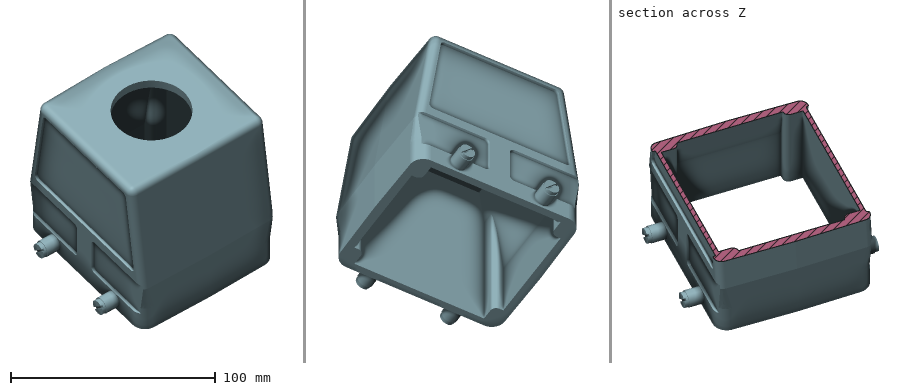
import cadquery as cq
import math

HEIGHT = 93.5
WIDTH = 94.0
DEPTH = 82.6
HALF_WIDTH = WIDTH / 2
HALF_DEPTH = DEPTH / 2
CROWN_ANGLE = 1.0
TAPER_ANGLE = 8.0
SHOULDER_Z = 29.9
BASE_CORNER_Z = 14.8
BASE_CORNER_RADIUS = 7.5
UPPER_RADIUS = 4.0
ROOF_FLAT_HALF_DEPTH = 28.7
CROWN_SLOPE = math.tan(math.radians(CROWN_ANGLE))
TAPER_SLOPE = math.tan(math.radians(TAPER_ANGLE))

CABLE_HOLE_DIAMETER = 40.0
ROOF_THICKNESS = 5.0
FRONT_WALL = 4.0
CAVITY_HALF_WIDTH = 42.0
PILLAR_X = 36.6
PILLAR_DEPTH = 9.4
PILLAR_RADIUS = 3.3

RECESS_DEPTH = 1.4
RECESS_WALL_TAPER = 16.0
RECESS_CORNER_RADIUS = 2.5
PANEL_BOTTOM_Z = 37.8
PANEL_TOP_Z = 88.3
PANEL_SIDE_MARGIN = 5.0
POCKET_BOTTOM_Z = 10.6
POCKET_TOP_Z = 32.5
POCKET_INNER_X = 5.7
OVERSHOOT = 10.2

PIN_X = 23.8
PIN_Z = 5.8
PIN_DIAMETER = 8.8
PIN_TIP_DIAMETER = 8.0
PIN_END_Y = 51.2
PIN_TIP_LENGTH = 2.3
PIN_SLOT_WIDTH = 1.2
PIN_SLOT_DEPTH = 1.0
PIN_SLOT_ANGLE = 45.0


def half_width_at(z):
    """Half width at the middle of the side walls."""
    return HALF_WIDTH - max(0, z - SHOULDER_Z) * TAPER_SLOPE


def corner_x_at(z):
    """Half width at the front and back walls, before the corners are rounded."""
    return half_width_at(z) - HALF_DEPTH * CROWN_SLOPE


def half_outline(middle_z, corner_z):
    """Rear half of the shell's plan outline; the heights at the middle and the corners may differ."""
    middle = half_width_at(middle_z)
    corner = corner_x_at(corner_z)
    return [
        cq.Vector(middle, 0, middle_z),
        cq.Vector(corner, HALF_DEPTH, corner_z),
        cq.Vector(-corner, HALF_DEPTH, corner_z),
        cq.Vector(-middle, 0, middle_z),
    ]


def rounded_outline(z, corner_radius):
    """Full plan outline, with a slight crest in the middle of each side wall."""
    rear = half_outline(z, z)
    front = [cq.Vector(-point.x, -point.y, z) for point in rear[1:3]]
    wire = cq.Wire.makePolygon(rear + front, close=True)
    corners = [vertex for vertex in wire.Vertices() if abs(vertex.Y) > HALF_DEPTH / 2]
    return wire.fillet2D(corner_radius, corners)


def flat_sided_solid(bottom, top):
    """Solid bounded by two matching outlines and a flat face between each pair of edges."""
    loops = [bottom, top]
    for i in range(len(bottom)):
        loops.append([bottom[i - 1], bottom[i], top[i], top[i - 1]])
    faces = [cq.Face.makeFromWires(cq.Wire.makePolygon(loop, close=True)) for loop in loops]
    return cq.Workplane(cq.Solid.makeSolid(cq.Shell.makeShell(faces)))


def make_upper_shell():
    """Leaning part with rounded edges and a gently pitched roof, levelled along the ridge."""
    ridge_z = HEIGHT + ROOF_FLAT_HALF_DEPTH * CROWN_SLOPE
    eave_z = ridge_z - HALF_DEPTH * CROWN_SLOPE
    rear = flat_sided_solid(half_outline(SHOULDER_Z, SHOULDER_Z), half_outline(ridge_z, eave_z))
    rounded = rear.faces(">Y").edges("not <Z").add(rear.faces(">Z").edges("<X or >X"))
    rear = rounded.fillet(UPPER_RADIUS)
    level = cq.Workplane().box(2 * WIDTH, 2 * DEPTH, HEIGHT, centered=(True, True, False))
    rear = rear.intersect(level)
    return rear.union(rear.mirror("XZ"))


def make_lower_shell(upper):
    """Upright part; its corner rounds shrink to match the upper part at the shoulder."""
    base_wire = rounded_outline(0, BASE_CORNER_RADIUS)
    base = cq.Solid.extrudeLinear(base_wire, [], cq.Vector(0, 0, BASE_CORNER_Z))
    shoulder_wire = upper.faces("<Z").wires().val()
    blend = cq.Solid.makeLoft([rounded_outline(BASE_CORNER_Z, BASE_CORNER_RADIUS), shoulder_wire], True)
    return cq.Workplane(base).union(cq.Workplane(blend))


def make_cavity():
    ceiling_z = HEIGHT - ROOF_THICKNESS
    half_depth = HALF_DEPTH - FRONT_WALL
    ceiling_x = CAVITY_HALF_WIDTH - (ceiling_z - SHOULDER_Z) * TAPER_SLOPE
    cavity = (
        cq.Workplane("XZ")
        .polyline([
            (CAVITY_HALF_WIDTH, 0),
            (CAVITY_HALF_WIDTH, SHOULDER_Z),
            (ceiling_x, ceiling_z),
            (-ceiling_x, ceiling_z),
            (-CAVITY_HALF_WIDTH, SHOULDER_Z),
            (-CAVITY_HALF_WIDTH, 0),
        ])
        .close()
        .extrude(half_depth, both=True)
    )
    for x_side in (-1, 1):
        for y_side in (-1, 1):
            pillar = (
                cq.Workplane()
                .box(2 * OVERSHOOT, 2 * PILLAR_DEPTH, HEIGHT, centered=(True, True, False))
                .edges("|Z")
                .fillet(PILLAR_RADIUS)
                .translate((x_side * (PILLAR_X + OVERSHOOT), y_side * half_depth, 0))
            )
            cavity = cavity.cut(pillar)
    return cavity


def wall_recess(corners):
    """Cutter for the back wall, narrowing toward its floor."""
    wall = cq.Plane(origin=(0, HALF_DEPTH, 0), xDir=(1, 0, 0), normal=(0, -1, 0))
    profile = cq.Sketch().polygon(corners + corners[:1]).vertices().fillet(RECESS_CORNER_RADIUS)
    return cq.Workplane(wall).placeSketch(profile).extrude(RECESS_DEPTH, taper=RECESS_WALL_TAPER)


def make_panel():
    bottom_x = corner_x_at(PANEL_BOTTOM_Z) - PANEL_SIDE_MARGIN
    top_x = corner_x_at(PANEL_TOP_Z) - PANEL_SIDE_MARGIN
    return wall_recess([
        (-bottom_x, PANEL_BOTTOM_Z),
        (bottom_x, PANEL_BOTTOM_Z),
        (top_x, PANEL_TOP_Z),
        (-top_x, PANEL_TOP_Z),
    ])


def make_latch_pocket():
    """Pocket that runs out through the side of the shell."""
    outer_x = HALF_WIDTH + OVERSHOOT
    return wall_recess([
        (POCKET_INNER_X, POCKET_BOTTOM_Z),
        (outer_x, POCKET_BOTTOM_Z),
        (outer_x, POCKET_TOP_Z),
        (POCKET_INNER_X, POCKET_TOP_Z),
    ])


def make_pin():
    """Stepped pin on the back wall with a slanted screwdriver slot in its tip."""
    root_y = HALF_DEPTH - FRONT_WALL / 2
    shoulder_y = PIN_END_Y - PIN_TIP_LENGTH
    along_y = cq.Vector(0, 1, 0)
    shank = cq.Solid.makeCylinder(PIN_DIAMETER / 2, shoulder_y - root_y, cq.Vector(0, root_y, 0), along_y)
    tip = cq.Solid.makeCylinder(PIN_TIP_DIAMETER / 2, PIN_TIP_LENGTH, cq.Vector(0, shoulder_y, 0), along_y)
    slot = (
        cq.Workplane()
        .box(2 * PIN_DIAMETER, 2 * PIN_SLOT_DEPTH, PIN_SLOT_WIDTH)
        .rotate((0, 0, 0), (0, 1, 0), PIN_SLOT_ANGLE)
        .translate((0, PIN_END_Y, 0))
    )
    return cq.Workplane(shank).union(cq.Workplane(tip)).cut(slot)


upper_shell = make_upper_shell()
result = upper_shell.union(make_lower_shell(upper_shell)).cut(make_cavity())
result = result.cut(cq.Workplane().circle(CABLE_HOLE_DIAMETER / 2).extrude(HEIGHT))

panel = make_panel()
pocket = make_latch_pocket()
mirrored_pocket = pocket.mirror("YZ")
pin = make_pin()
for turn in (0, 180):
    for cutter in (panel, pocket, mirrored_pocket):
        result = result.cut(cutter.rotate((0, 0, 0), (0, 0, 1), turn))
    for x in (-PIN_X, PIN_X):
        result = result.union(pin.translate((x, 0, PIN_Z)).rotate((0, 0, 0), (0, 0, 1), turn))